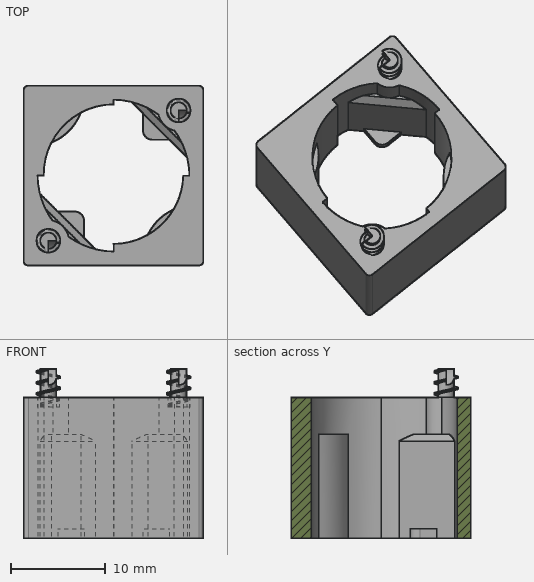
import cadquery as cq
import math

side = 19.0
body_height = 14.9
corner_radius = 0.5

wide_radius = 8.0
narrow_radius = 7.35
narrow_offset_y = 0.15

ledge_z = 11.0
ledge_edge = 7.56
flat_wall = 6.84
ramp_drop = ledge_edge - flat_wall
bulge_radius = 5.6
bulge_reach = 6.65
pad_x = 3.1
pad_y = 3.78
pad_corner_radius = 1.0
pad_height = 1.0

screw_position = 6.88
screw_wall_radius = 2.17
screw_height = 3.0
recess_radius = 1.15
recess_depth = 1.0
core_radius = 0.85
thread_radius = 1.25
thread_pitch = 1.15
thread_root_width = 0.27
thread_tip_width = 0.11
thread_root_overlap = 0.08
thread_start = -1.35
thread_start_angle = 6.0
cutter_radius = 2.1

half_side = side / 2
stud_length = screw_height + recess_depth
wide_corner_angles = (45, 225)
narrow_corner_angles = (135, 315)


def turned(solid, angle):
    return solid.rotate((0, 0, 0), (0, 0, 1), angle)


def full_height_quadrants(angles):
    """Full-height blocks filling the quadrants whose diagonals lie at the angles."""
    blocks = cq.Workplane("XY")
    for angle in angles:
        block = cq.Workplane("XY").rect(half_side, half_side, centered=False).extrude(body_height)
        blocks = blocks.union(turned(block, angle - 45))
    return blocks


def bore():
    wide = cq.Workplane("XY").circle(wide_radius).extrude(body_height)
    narrow = cq.Workplane("XY").center(0, narrow_offset_y).circle(narrow_radius).extrude(body_height)
    wide_part = wide.intersect(full_height_quadrants(wide_corner_angles))
    narrow_part = narrow.intersect(full_height_quadrants(narrow_corner_angles))
    return wide_part.union(narrow_part)


def ramped_ledge(angle):
    """Flat wall across a wide quadrant, topped by a ramp and a level ledge."""
    profile = [
        (flat_wall, 0),
        (flat_wall, ledge_z - ramp_drop),
        (ledge_edge, ledge_z),
        (half_side, ledge_z),
        (half_side, 0),
    ]
    ledge = cq.Workplane("XZ").polyline(profile).close().extrude(half_side, both=True)
    return turned(ledge, angle)


def screw_wall(angle):
    """Round wall of constant thickness around a screw corner."""
    distance = screw_position * math.sqrt(2)
    wall = cq.Workplane("XY").center(distance, 0).circle(screw_wall_radius).extrude(body_height)
    return turned(wall, angle)


def bulge(angle):
    """Shallow rounded bulge on a narrow quadrant, as high as the ledges."""
    bulge_center = bulge_reach + bulge_radius
    cylinder = cq.Workplane("XY").center(bulge_center, 0).circle(bulge_radius).extrude(ledge_z)
    return turned(cylinder, angle)


def floor_pad(angle):
    """Low pad with one rounded corner on the floor of a wide quadrant."""
    pad = (
        cq.Workplane("XY")
        .moveTo(pad_x, pad_y)
        .rect(half_side - pad_x, half_side - pad_y, centered=False)
        .extrude(pad_height)
        .edges("|Z").edges("<X").edges("<Y")
        .fillet(pad_corner_radius)
    )
    return turned(pad, angle - 45)


def stud_cylinder(radius):
    """Cylinder from the recess floor to the screw tip; z = 0 is the top of the housing."""
    return cq.Workplane("XY", origin=(0, 0, -recess_depth)).circle(radius).extrude(stud_length)


def thread():
    """Right-handed ridge wound around the screw core."""
    root = core_radius - thread_root_overlap
    path = cq.Wire.makeHelix(thread_pitch, screw_height - thread_start, core_radius)
    ridge = (
        cq.Workplane("XZ")
        .polyline([
            (root, -thread_root_width / 2),
            (thread_radius, -thread_tip_width / 2),
            (thread_radius, thread_tip_width / 2),
            (root, thread_root_width / 2),
        ])
        .close()
        .sweep(cq.Workplane(path), isFrenet=True)
    )
    wound = turned(ridge, thread_start_angle).translate((0, 0, thread_start))
    return wound.intersect(stud_cylinder(2 * thread_radius))


def screw():
    """Threaded stud rising from its recess, with a quarter of its tip milled away by a round cutter."""
    core = stud_cylinder(core_radius)
    cutter = (
        cq.Workplane("YZ")
        .center(-cutter_radius, screw_height)
        .circle(cutter_radius)
        .extrude(2 * thread_radius)
    )
    return core.union(thread()).cut(cutter)


opening = bore()
for corner_angle in wide_corner_angles:
    opening = opening.cut(ramped_ledge(corner_angle))
    opening = opening.cut(screw_wall(corner_angle))
    opening = opening.cut(floor_pad(corner_angle))
for corner_angle in narrow_corner_angles:
    opening = opening.cut(bulge(corner_angle))

result = (
    cq.Workplane("XY")
    .rect(side, side)
    .extrude(body_height)
    .edges("|Z")
    .fillet(corner_radius)
    .cut(opening)
)

screw_points = [(position, position) for position in (-screw_position, screw_position)]
recesses = (
    cq.Workplane("XY", origin=(0, 0, body_height - recess_depth))
    .pushPoints(screw_points)
    .circle(recess_radius)
    .extrude(recess_depth)
)
result = result.cut(recesses)

stud = screw()
for x, y in screw_points:
    result = result.union(stud.translate((x, y, body_height)))